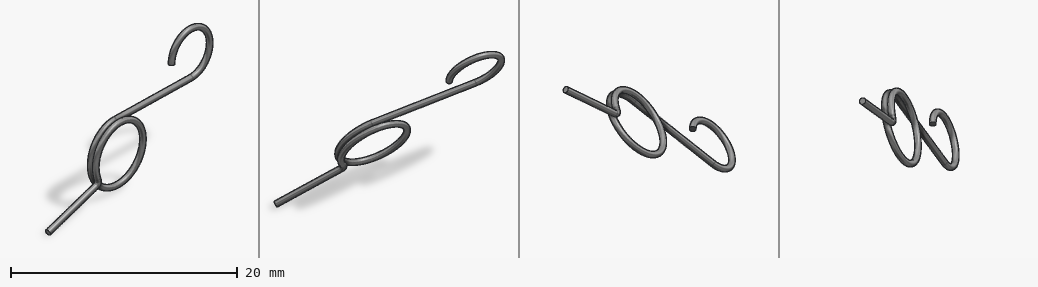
import cadquery as cq
import math

WIRE_DIAMETER = 0.6
COIL_RADIUS = 3.25
COIL_PITCH = 0.61
COIL_TURNS = 1.3
LEG_LENGTH = 10.0
HOOK_RADIUS = 2.5
FOOT_REACH = 7.0
FOOT_OFFSET = 0.65
FOOT_BEND_RADIUS = 0.4

WIRE_RADIUS = WIRE_DIAMETER / 2
COIL_LENGTH = COIL_PITCH * COIL_TURNS
COIL_SWEEP_ANGLE = 2 * math.pi * COIL_TURNS


def joint_section():
    """Wire cross-section at the top of the coil, where the leg and the coil meet."""
    return cq.Workplane("XZ").center(0, COIL_RADIUS).circle(WIRE_RADIUS)


def hooked_leg():
    """Straight leg along +Y from the top of the coil, ending in a three-quarter hook."""
    hook_center_z = COIL_RADIUS + HOOK_RADIUS
    diagonal = HOOK_RADIUS * math.cos(math.pi / 4)
    path = (
        cq.Workplane("YZ")
        .moveTo(0, COIL_RADIUS)
        .lineTo(LEG_LENGTH, COIL_RADIUS)
        .threePointArc(
            (LEG_LENGTH + diagonal, hook_center_z + diagonal),
            (LEG_LENGTH - HOOK_RADIUS, hook_center_z),
        )
    )
    return joint_section().sweep(path)


def coil():
    """Helical coil starting at the inner end of the leg."""
    coil_plane = cq.Plane(origin=(0, 0, 0), xDir=(0, 0, 1), normal=(1, 0, 0))
    helix = cq.Wire.makeHelix(COIL_PITCH, COIL_LENGTH, COIL_RADIUS).moved(cq.Location(coil_plane))
    return joint_section().sweep(cq.Workplane(obj=helix), isFrenet=True)


def foot():
    """Foot at the far coil end: a short tangent run, a right-angle bend and a radial straight."""
    outward = cq.Vector(0, -math.sin(COIL_SWEEP_ANGLE), math.cos(COIL_SWEEP_ANGLE))
    foot_plane = cq.Plane(origin=(COIL_LENGTH, 0, 0), xDir=outward, normal=(1, 0, 0))
    bend_start = FOOT_OFFSET - FOOT_BEND_RADIUS
    path = (
        cq.Workplane(foot_plane)
        .moveTo(COIL_RADIUS, 0)
        .lineTo(COIL_RADIUS, bend_start)
        .tangentArcPoint((COIL_RADIUS + FOOT_BEND_RADIUS, FOOT_OFFSET), relative=False)
        .lineTo(COIL_RADIUS + FOOT_REACH, FOOT_OFFSET)
    )
    section_plane = cq.Plane(
        origin=foot_plane.toWorldCoords((COIL_RADIUS, 0, 0)),
        xDir=outward,
        normal=foot_plane.yDir,
    )
    return cq.Workplane(section_plane).circle(WIRE_RADIUS).sweep(path)


result = coil().union(hooked_leg()).union(foot())